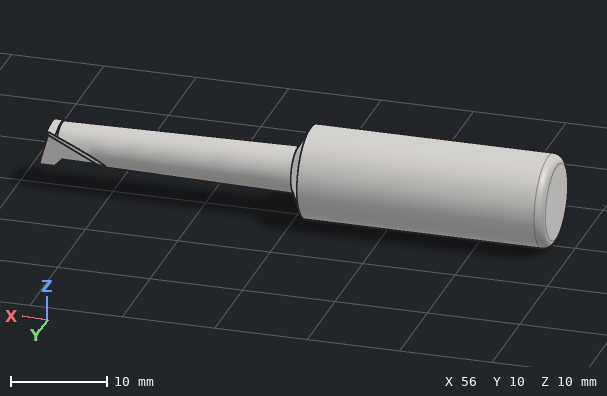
import cadquery as cq

length = 56.0
shank_radius = 10.0 / 2

back_round = 0.95
shank_end = 26.6

neck_start = 28.0
neck_start_radius = 2.5
neck_end = 53.5
neck_end_radius = 2.1

head_radius = 2.6
tip_depth = 2.95
head_axis_z = head_radius - tip_depth
end_face_setback = 1.45
cone_run = 0.85
cone_end_radius = 3.0

recess_corner_x = 55.0
recess_corner_z = 0.45
recess_roof_slope = 0.84
recess_fall = 0.5
recess_length = 16.8
recess_margin = 5.6


def make_bar():
    """Shank, shoulder cone and tapered neck turned about the X axis."""
    profile = (
        cq.Workplane("XY")
        .lineTo(0, shank_radius)
        .lineTo(shank_end, shank_radius)
        .lineTo(neck_start, neck_start_radius)
        .lineTo(neck_end, neck_end_radius)
        .lineTo(neck_end, 0)
        .close()
    )
    bar = profile.revolve(360, (0, 0, 0), (1, 0, 0))
    return bar.faces("<X").edges().fillet(back_round)


def make_head():
    """Offset cylinder limited by the coaxial back cone and the sloped end face."""
    cylinder = (
        cq.Workplane("YZ", origin=(neck_end, 0, head_axis_z))
        .circle(head_radius)
        .extrude(length - neck_end)
    )
    cone_limit = (
        cq.Workplane("XY")
        .moveTo(neck_end, 0)
        .lineTo(neck_end, neck_end_radius)
        .lineTo(neck_end + cone_run, cone_end_radius)
        .lineTo(length, cone_end_radius)
        .lineTo(length, 0)
        .close()
        .revolve(360, (0, 0, 0), (1, 0, 0))
    )
    head_top = head_axis_z + head_radius
    end_limit = (
        cq.Workplane("XZ")
        .moveTo(neck_end, -tip_depth)
        .lineTo(length, -tip_depth)
        .lineTo(length - end_face_setback, head_top)
        .lineTo(neck_end, head_top)
        .close()
        .extrude(head_radius, both=True)
    )
    return cylinder.intersect(cone_limit).intersect(end_limit)


def make_recess():
    """Chip recess swept back from beyond the tip, falling away toward the shank."""
    front_x = length + recess_margin
    front_z = recess_corner_z + recess_fall * (front_x - recess_corner_x)
    section = cq.Plane(
        origin=(front_x, 0, front_z),
        xDir=(0, -1, 0),
        normal=(-1, 0, -recess_fall),
    )
    lean = (1 + recess_fall**2) ** 0.5
    roof_rise = recess_margin * recess_roof_slope / lean
    return (
        cq.Workplane(section)
        .lineTo(-recess_margin, roof_rise)
        .lineTo(-recess_margin, -2 * recess_margin)
        .lineTo(0, -2 * recess_margin)
        .close()
        .extrude(recess_length)
    )


result = make_bar().union(make_head()).cut(make_recess())